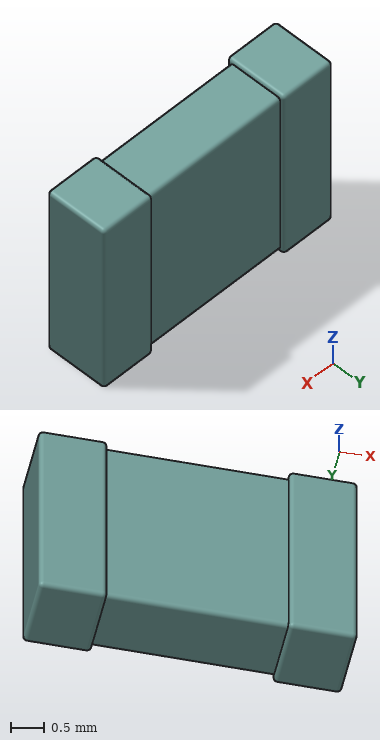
import cadquery as cq

LENGTH = 4.9
DEPTH = 1.2
HEIGHT = 3.5

CAP_LENGTH = 1.05
CAP_STEP = 0.075
EDGE_RADIUS = 0.075

CORE_LENGTH = LENGTH - 2 * CAP_LENGTH
CAP_OFFSET = (LENGTH - CAP_LENGTH) / 2


def make_core():
    """Block between the caps, rounded along its four long edges."""
    block = cq.Workplane("XY").box(CORE_LENGTH, DEPTH - 2 * CAP_STEP, HEIGHT - 2 * CAP_STEP)
    return block.edges("|X").fillet(EDGE_RADIUS)


def make_end_cap(center_x):
    """Terminal block rounded on all edges, with its inner face against the core."""
    block = cq.Workplane("XY").box(CAP_LENGTH, DEPTH, HEIGHT)
    return block.edges().fillet(EDGE_RADIUS).translate((center_x, 0, 0))


core = make_core()

end_caps = []
for side in (-1, 1):
    end_caps.append(make_end_cap(side * CAP_OFFSET).val())

result = cq.Compound.makeCompound([core.val(), *end_caps])